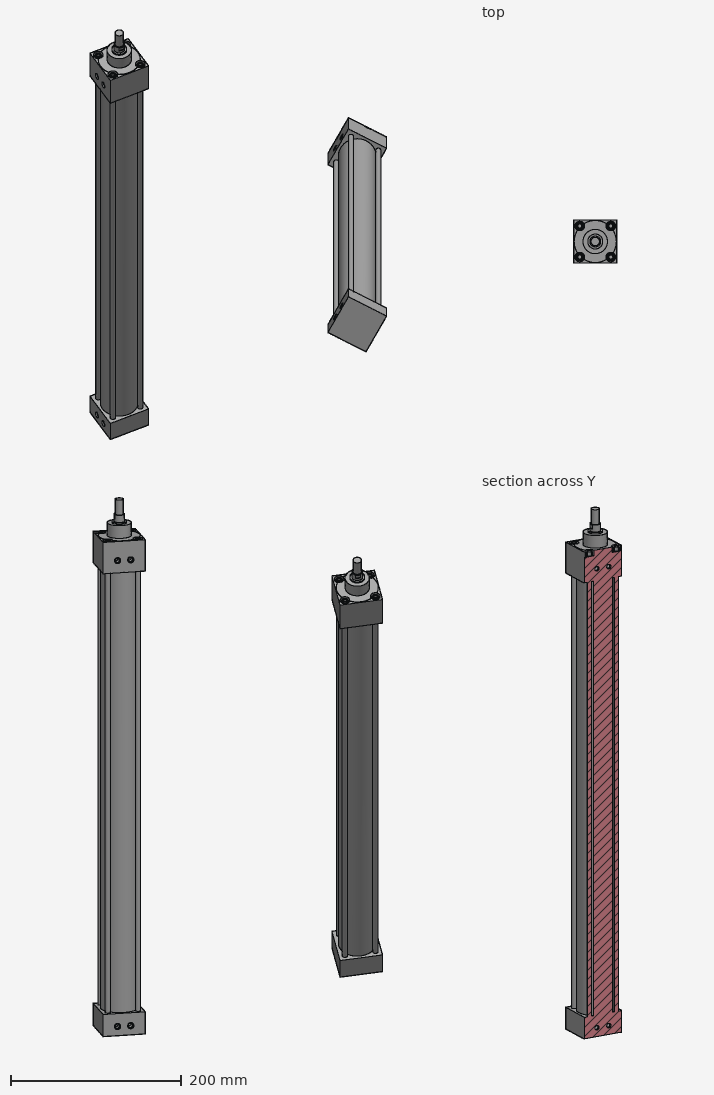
import cadquery as cq
import math

INCH = 25.4

total_length = 25.375 * INCH
body_side = 2.0 * INCH

cap_height = 1.0625 * INCH
head_height = 1.5 * INCH
rod_reach = 1.75 * INCH

pad_diameter = 1.9375 * INCH
pad_height = 0.015 * INCH
boss_diameter = 1.125 * INCH
boss_height = 0.625 * INCH
wiper_diameter = 0.6875 * INCH
wiper_height = 0.0625 * INCH

tube_diameter = 1.75 * INCH
tie_rod_diameter = 0.25 * INCH
tie_rod_spacing = 1.43 * INCH
tie_rod_hole_diameter = 0.1875 * INCH
tie_rod_hole_depth = 0.25 * INCH

nut_diameter = 0.34 * INCH
nut_height = 0.17 * INCH
nut_recess_diameter = 0.4375 * INCH
nut_recess_depth = 0.25 * INCH

mount_mouth_diameter = 0.28 * INCH
mount_mouth_depth = 0.08 * INCH
mount_drill_diameter = 0.2 * INCH
mount_drill_depth = 0.375 * INCH
drill_point_angle = 118
mount_spacing = 0.625 * INCH
cap_mount_z = 0.4375 * INCH
head_mount_rise = 0.58 * INCH

rod_diameter = 0.5 * INCH
thread_diameter = 0.39 * INCH
thread_length = 0.72 * INCH
shoulder_height = 0.015 * INCH
flat_width = 0.4375 * INCH
flat_length = 0.1875 * INCH

head_top = total_length - rod_reach
head_bottom = head_top - head_height
boss_top = head_top + boss_height
wiper_top = boss_top + wiper_height
thread_bottom = total_length - thread_length
nut_seat = head_top - nut_recess_depth


def cylinder(diameter, bottom, top, x=0, y=0):
    return cq.Workplane("XY", origin=(x, y, bottom)).circle(diameter / 2).extrude(top - bottom)


def end_block(bottom, height):
    return cq.Workplane("XY", origin=(0, 0, bottom)).rect(body_side, body_side).extrude(height)


def mounting_hole(x, z):
    """Stepped hole along +Y from the -Y face, ending in a drill point."""
    mouth_radius = mount_mouth_diameter / 2
    drill_radius = mount_drill_diameter / 2
    point_length = drill_radius / math.tan(math.radians(drill_point_angle / 2))
    profile = [
        (0, 0),
        (mouth_radius, 0),
        (mouth_radius, mount_mouth_depth),
        (drill_radius, mount_mouth_depth),
        (drill_radius, mount_drill_depth),
        (0, mount_drill_depth + point_length),
    ]
    hole = cq.Workplane("XY").polyline(profile).close().revolve(360, (0, 0, 0), (0, 1, 0))
    return hole.translate((x, -body_side / 2, z))


def add_tie_rod(body, x, y):
    """Tie rod from the cap to the head top, with its nut in a round recess."""
    body = body.cut(cylinder(nut_recess_diameter, nut_seat, boss_top, x, y))
    body = body.union(cylinder(nut_diameter, nut_seat, nut_seat + nut_height, x, y))
    body = body.union(cylinder(tie_rod_diameter, cap_height, head_top, x, y))
    return body.cut(cylinder(tie_rod_hole_diameter, head_top - tie_rod_hole_depth, head_top, x, y))


def make_housing():
    body = end_block(0, cap_height)
    body = body.union(cylinder(tube_diameter, cap_height, head_bottom))
    body = body.union(end_block(head_bottom, head_height))
    body = body.union(cylinder(pad_diameter, head_top, head_top + pad_height))
    body = body.union(cylinder(boss_diameter, head_top, boss_top))
    body = body.union(cylinder(wiper_diameter, boss_top, wiper_top))

    for side_x in (-1, 1):
        for side_y in (-1, 1):
            body = add_tie_rod(body, side_x * tie_rod_spacing / 2, side_y * tie_rod_spacing / 2)

    for z in (cap_mount_z, head_bottom + head_mount_rise):
        for side_x in (-1, 1):
            body = body.cut(mounting_hole(side_x * mount_spacing / 2, z))

    return body.cut(cylinder(rod_diameter, head_bottom, wiper_top))


def make_piston_rod():
    rod = cylinder(rod_diameter, head_bottom, thread_bottom)
    rod = rod.union(cylinder(thread_diameter, thread_bottom, total_length))

    flat_middle = thread_bottom - shoulder_height - flat_length / 2
    cutter = cq.Workplane("XY").box(rod_diameter, rod_diameter, flat_length)
    for side_x in (-1, 1):
        cutter_x = side_x * (flat_width + rod_diameter) / 2
        rod = rod.cut(cutter.translate((cutter_x, 0, flat_middle)))
    return rod


housing = make_housing()
piston_rod = make_piston_rod()
result = cq.Compound.makeCompound([housing.val(), piston_rod.val()])